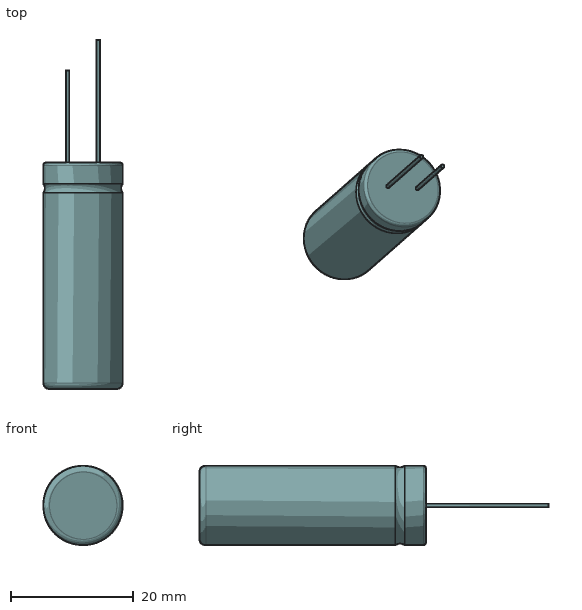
import cadquery as cq

can_diameter = 13.0
can_length = 37.0
closed_end_radius = 1.0
rim_radius = 0.5
groove_center = 4.25
groove_width = 1.5
groove_depth = 0.25
lead_diameter = 0.6
lead_pitch = 5.0
short_lead_length = 15.0
long_lead_length = 20.0
lead_embedment = 1.0

can_radius = can_diameter / 2


def make_can():
    """Solid can with both end edges rounded."""
    can = cq.Workplane("XZ").circle(can_radius).extrude(can_length)
    can = can.faces("<Y").edges().fillet(closed_end_radius)
    return can.faces(">Y").edges().fillet(rim_radius)


def make_groove():
    """Ring of circular-arc section to be cut from the can wall."""
    groove_start = -groove_center + groove_width / 2
    groove_end = -groove_center - groove_width / 2
    return (
        cq.Workplane("XY")
        .moveTo(can_radius, groove_start)
        .threePointArc((can_radius - groove_depth, -groove_center), (can_radius, groove_end))
        .lineTo(can_radius + groove_depth, groove_end)
        .lineTo(can_radius + groove_depth, groove_start)
        .close()
        .revolve(360, (0, 0, 0), (0, 1, 0))
    )


def make_lead(x, length):
    """Round wire running from inside the can to its free end at Y = length."""
    return (
        cq.Workplane("XZ", origin=(x, length, 0))
        .circle(lead_diameter / 2)
        .extrude(length + lead_embedment)
    )


result = make_can().cut(make_groove())
for side, length in ((-1, short_lead_length), (1, long_lead_length)):
    result = result.union(make_lead(side * lead_pitch / 2, length))